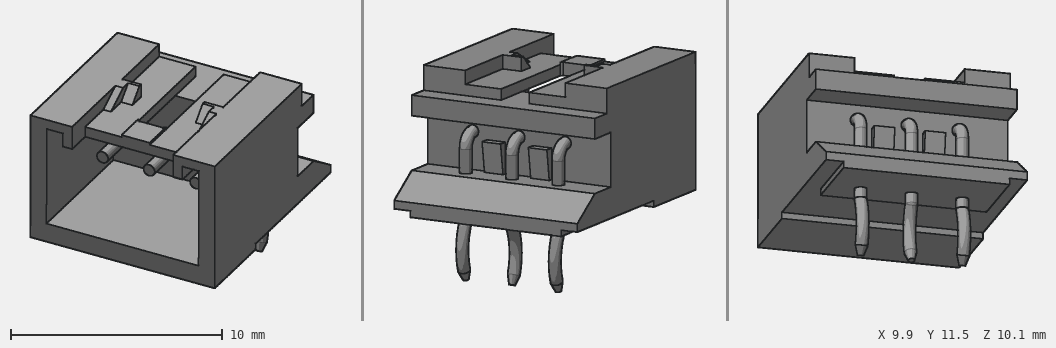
import cadquery as cq
import math


WIDTH = 9.9
BODY_HEIGHT = 6.7
BODY_REAR_Y = 8.67
FRONT_DRAFT = 0.02
REAR_WALL_Y = 8.27

LEDGE_REAR_Y = 9.83
LEDGE_BOTTOM_Z = 4.48
BASE_TOP_Z = 1.83
BASE_REAR_Y = 11.54
BASE_LIP_Z = 0.72

FOOT_HEIGHT = 0.31
FRONT_FOOT_LENGTH = 4.1
REAR_FOOT_START_Y = 7.63
REAR_FOOT_INSET = 0.87

CAVITY_WIDTH = 8.16
CAVITY_FLOOR_Z = 1.0
CAVITY_TOP_Z = 6.2
CAVITY_DEPTH = 6.65

CHANNEL_WIDTH = 5.42
LIP_THICKNESS = 0.5
PANEL_BOTTOM_Z = 5.48
PANEL_TOP_Z = 6.02
PANEL_FRONT_Y = 1.31

SLOT_WIDTH = 1.51
WINDOW_FRONT_Y = 2.83
WINDOW_CORNER = 0.12
PAD_TOP_Z = 6.13

RAMP_REAR_Y = 5.01
OUTER_RAMP_WIDTH = 0.41
OUTER_RAMP_CREST_Y = 4.33
OUTER_RAMP_FOOT_Y = 3.11
INNER_RAMP_WIDTH = 0.60
INNER_RAMP_CREST_Y = 4.83
INNER_RAMP_FOOT_Y = 4.13

PIN_COUNT = 3
PIN_PITCH = 2.5
PIN_DIAMETER = 0.6
PIN_RADIUS = PIN_DIAMETER / 2
PIN_AXIS_Z = 3.7
PIN_FRONT_Y = 2.65
PIN_LEG_Y = 8.97
PIN_BEND_RADIUS = 0.68

TAIL_START_Z = -0.5
TAIL_BOW = 0.345
TAIL_BOW_MIDDLE_Z = -1.87
TAIL_END_Z = -2.88
TIP_DIAMETER = 0.3
TIP_LENGTH = 0.49

RIB_COUNT = PIN_COUNT - 1
RIB_WIDTH = 1.0
RIB_TOP_Z = 3.36
RIB_BOTTOM_Y = 8.51
RIB_TOP_Y = 8.74


def box(x_min, x_max, y_min, y_max, z_min, z_max):
    """Axis-aligned block given by its limits."""
    return cq.Workplane("XY").box(
        x_max - x_min, y_max - y_min, z_max - z_min, centered=False
    ).translate((x_min, y_min, z_min))


def centered_box(width, y_min, y_max, z_min, z_max):
    """Block symmetric about X = 0."""
    return box(-width / 2, width / 2, y_min, y_max, z_min, z_max)


def row_positions(count):
    """X positions of a centered row spaced at the pin pitch."""
    return [(index - (count - 1) / 2) * PIN_PITCH for index in range(count)]


def side_prism(points, x_min, x_max):
    """Extrude a (Y, Z) outline between two X positions."""
    return cq.Workplane("YZ").workplane(offset=x_min).polyline(points).close().extrude(x_max - x_min)


def make_body():
    """Side outline of the housing across its full width, plus the inset rear foot."""
    outline = [
        (0, 0),
        (FRONT_DRAFT, BODY_HEIGHT),
        (BODY_REAR_Y, BODY_HEIGHT),
        (BODY_REAR_Y, PANEL_BOTTOM_Z),
        (LEDGE_REAR_Y, PANEL_BOTTOM_Z),
        (LEDGE_REAR_Y, LEDGE_BOTTOM_Z),
        (REAR_WALL_Y, LEDGE_BOTTOM_Z),
        (REAR_WALL_Y, BASE_TOP_Z),
        (LEDGE_REAR_Y, BASE_TOP_Z),
        (BASE_REAR_Y, BASE_LIP_Z),
        (BASE_REAR_Y, FOOT_HEIGHT),
        (FRONT_FOOT_LENGTH, FOOT_HEIGHT),
        (FRONT_FOOT_LENGTH, 0),
    ]
    body = side_prism(outline, -WIDTH / 2, WIDTH / 2)
    foot_width = WIDTH - 2 * REAR_FOOT_INSET
    return body.union(centered_box(foot_width, REAR_FOOT_START_Y, BASE_REAR_Y, 0, FOOT_HEIGHT))


def make_cavity():
    """Mating cavity, leaving the panel and its two hanging lips at the top."""
    cavity = centered_box(CAVITY_WIDTH, 0, CAVITY_DEPTH, CAVITY_FLOOR_Z, CAVITY_TOP_Z)
    roof_width = CHANNEL_WIDTH + 2 * LIP_THICKNESS
    return cavity.cut(centered_box(roof_width, 0, CAVITY_DEPTH, PANEL_BOTTOM_Z, CAVITY_TOP_Z))


def make_channel():
    """Roof opening: full height ahead of the panel, shallow above it."""
    opening = centered_box(CHANNEL_WIDTH, 0, PANEL_FRONT_Y, PANEL_BOTTOM_Z, BODY_HEIGHT)
    return opening.union(centered_box(CHANNEL_WIDTH, 0, BODY_REAR_Y, PANEL_TOP_Z, BODY_HEIGHT))


def make_slot():
    """Slot through the panel with two bevelled corners at its front end."""
    slot = centered_box(SLOT_WIDTH, WINDOW_FRONT_Y, BODY_REAR_Y, PANEL_BOTTOM_Z, PAD_TOP_Z)
    return slot.edges("|Z and <Y").chamfer(WINDOW_CORNER)


def make_pad():
    """Raised pad from the front edge of the panel to the slot, following its bevelled corners."""
    pad_rear_y = WINDOW_FRONT_Y + WINDOW_CORNER
    pad = centered_box(SLOT_WIDTH, PANEL_FRONT_Y, pad_rear_y, PANEL_BOTTOM_Z, PAD_TOP_Z)
    return pad.cut(make_slot())


def make_ramp(crest_y, foot_y, x_min, x_max):
    """Block on the panel whose front slopes down from crest to foot."""
    outline = [
        (RAMP_REAR_Y, PANEL_TOP_Z),
        (RAMP_REAR_Y, BODY_HEIGHT),
        (crest_y, BODY_HEIGHT),
        (foot_y, PANEL_TOP_Z),
    ]
    return side_prism(outline, x_min, x_max)


def make_locking_ramps():
    """Outer and inner ramps, mirrored onto both channel walls."""
    wall_x = -CHANNEL_WIDTH / 2
    step_x = wall_x + OUTER_RAMP_WIDTH
    outer = make_ramp(OUTER_RAMP_CREST_Y, OUTER_RAMP_FOOT_Y, wall_x, step_x)
    inner = make_ramp(INNER_RAMP_CREST_Y, INNER_RAMP_FOOT_Y, step_x, step_x + INNER_RAMP_WIDTH)
    left = outer.union(inner)
    return left.union(left.mirror("YZ"))


def make_pin_shank():
    """Horizontal contact, quarter bend and vertical leg, at X = 0."""
    bend_start_y = PIN_LEG_Y - PIN_BEND_RADIUS
    bend_end_z = PIN_AXIS_Z - PIN_BEND_RADIUS
    half_chord = PIN_BEND_RADIUS * math.sin(math.radians(45))
    path = (
        cq.Workplane("YZ")
        .moveTo(PIN_FRONT_Y, PIN_AXIS_Z)
        .lineTo(bend_start_y, PIN_AXIS_Z)
        .threePointArc((bend_start_y + half_chord, bend_end_z + half_chord), (PIN_LEG_Y, bend_end_z))
        .lineTo(PIN_LEG_Y, TAIL_START_Z)
    )
    profile = cq.Workplane("XZ", origin=(0, PIN_FRONT_Y, PIN_AXIS_Z)).circle(PIN_RADIUS)
    return profile.sweep(path)


def make_tail(side):
    """Tail bowed toward +Y (side = 1) or -Y (side = -1), ending in a tapered tip."""
    half_span = TAIL_START_Z - TAIL_BOW_MIDDLE_Z
    arc_radius = (half_span**2 + TAIL_BOW**2) / (2 * TAIL_BOW)
    center_offset = TAIL_BOW - arc_radius
    end_drop = TAIL_BOW_MIDDLE_Z - TAIL_END_Z
    start_angle = math.asin(half_span / arc_radius)
    end_angle = math.asin(end_drop / arc_radius)
    end_offset = center_offset + arc_radius * math.cos(end_angle)

    start = (0, PIN_LEG_Y, TAIL_START_Z)
    end = (0, PIN_LEG_Y + side * end_offset, TAIL_END_Z)
    start_direction = (0, side * math.sin(start_angle), -math.cos(start_angle))
    end_direction = (0, -side * math.sin(end_angle), -math.cos(end_angle))

    path = (
        cq.Workplane("YZ")
        .moveTo(PIN_LEG_Y, TAIL_START_Z)
        .threePointArc((PIN_LEG_Y + side * TAIL_BOW, TAIL_BOW_MIDDLE_Z), (end[1], end[2]))
    )
    start_plane = cq.Plane(origin=start, xDir=(1, 0, 0), normal=start_direction)
    bow = cq.Workplane(start_plane).circle(PIN_RADIUS).sweep(path)
    knee = cq.Workplane("XY").sphere(PIN_RADIUS).translate(start)
    tip = cq.Workplane(
        cq.Solid.makeCone(PIN_RADIUS, TIP_DIAMETER / 2, TIP_LENGTH, cq.Vector(*end), cq.Vector(*end_direction))
    )
    above_start = centered_box(
        2 * PIN_DIAMETER, PIN_LEG_Y - PIN_DIAMETER, PIN_LEG_Y + PIN_DIAMETER, TAIL_START_Z, 0
    )
    return bow.union(knee).union(tip).cut(above_start)


def make_rib():
    """Rib on the rear wall at X = 0, leaning outward toward its top."""
    outline = [
        (REAR_WALL_Y, BASE_TOP_Z),
        (RIB_BOTTOM_Y, BASE_TOP_Z),
        (RIB_TOP_Y, RIB_TOP_Z),
        (REAR_WALL_Y, RIB_TOP_Z),
    ]
    return side_prism(outline, -RIB_WIDTH / 2, RIB_WIDTH / 2)


result = make_body().cut(make_cavity()).cut(make_channel()).cut(make_slot())
result = result.union(make_pad()).union(make_locking_ramps())

for index, pin_x in enumerate(row_positions(PIN_COUNT)):
    bow_side = 1 if index % 2 == 0 else -1
    pin = make_pin_shank().union(make_tail(bow_side))
    result = result.union(pin.translate((pin_x, 0, 0)))

for rib_x in row_positions(RIB_COUNT):
    result = result.union(make_rib().translate((rib_x, 0, 0)))